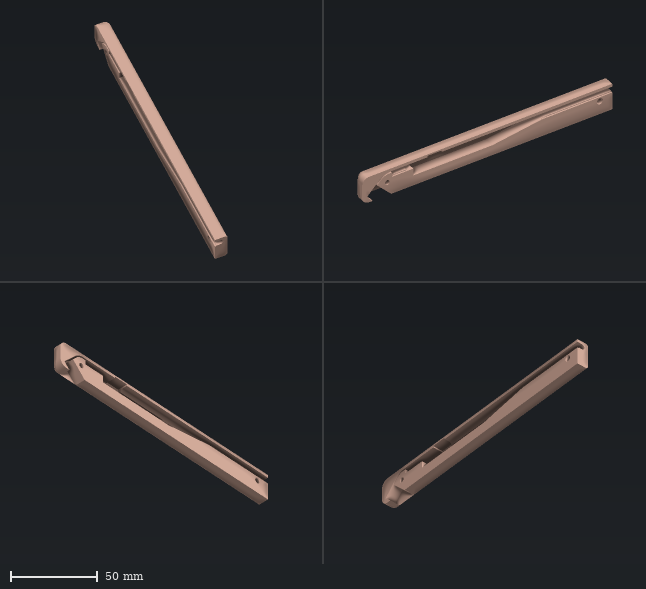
import cadquery as cq
import math

length = 172.3
thickness = 8.0
height = 18.0
corner_radius = 5.0
back_edge_radius = 2.0

rod_radius = 1.85
rod_axis_y = 3.4
roof_thickness = 2.0
mouth_top_z = height - roof_thickness
mouth_bottom_z = 11.85
mouth_depth = 1.0
rod_axis_z = mouth_top_z - rod_radius
rod_start_x = 20.6

pocket_depth = 7.0
pocket_bottom_z = 7.0
pocket_shoulder_z = 12.8
cradle_end_x = 31.2
pocket_start_x = 35.3
rod_entry_start_x = 45.2
rod_entry_end_x = 55.2
rod_entry_roof = 1.0
rod_entry_top_z = height - rod_entry_roof
ramp_start_x = 90.0
ramp_end_x = 130.5

recess_depth = 7.5
slot_width = 1.1
slot_bend_radius = 9.0
slot_end_x = 19.2
slope_angle = math.radians(45)
slope_offset_z = 0.9
hook_foot_x = 7.4
post_foot_x = 20.1

hole_diameter = 3.4
hole_z = height / 2
front_hole_x = 17.4
rear_hole_x = 163.8
countersink_diameter = 4.2

overshoot = 1.0


def extrude_from_mating_face(profile, depth):
    """Extrude a closed XZ profile from y = 0 to y = depth."""
    return profile.extrude(-depth)


def make_body():
    """Round the nose in the XZ and XY outlines, then along the edge of the back face."""
    blank = cq.Workplane("XY").box(length, thickness, height, centered=False)
    side_rounded = blank.edges("<X and |Y").fillet(corner_radius)
    nose_rounded = blank.edges("<X and >Y and |Z").fillet(corner_radius)
    body = side_rounded.intersect(nose_rounded)
    return body.faces(">Y").edges("|X").fillet(back_edge_radius)


def make_rod_channel():
    run = length + overshoot - rod_start_x

    def straight_slot(bottom_z, top_z, depth):
        return cq.Workplane("XY").box(run, depth, top_z - bottom_z, centered=False).translate(
            (rod_start_x, 0, bottom_z)
        )

    bore = (
        cq.Workplane("YZ", origin=(rod_start_x, 0, 0))
        .center(rod_axis_y, rod_axis_z)
        .circle(rod_radius)
        .extrude(run)
    )
    throat = straight_slot(rod_axis_z - rod_radius, mouth_top_z, rod_axis_y)
    mouth = straight_slot(mouth_bottom_z, mouth_top_z, mouth_depth)
    return bore.union(throat).union(mouth)


def make_pocket():
    cradle_top_z = mouth_top_z - slot_width
    profile = (
        cq.Workplane("XZ")
        .moveTo(slot_end_x, mouth_top_z)
        .lineTo(slot_end_x, cradle_top_z)
        .lineTo(cradle_end_x, cradle_top_z)
        .lineTo(cradle_end_x, mouth_bottom_z)
        .lineTo(pocket_start_x, mouth_bottom_z)
        .lineTo(pocket_start_x, pocket_bottom_z)
        .lineTo(ramp_start_x, pocket_bottom_z)
        .lineTo(ramp_end_x, pocket_shoulder_z)
        .lineTo(ramp_start_x, pocket_shoulder_z)
        .lineTo(ramp_start_x, rod_axis_z)
        .lineTo(rod_entry_end_x, rod_axis_z)
        .lineTo(rod_entry_end_x, rod_entry_top_z)
        .lineTo(rod_entry_start_x, rod_entry_top_z)
        .lineTo(rod_entry_start_x, mouth_top_z)
        .close()
    )
    return extrude_from_mating_face(profile, pocket_depth)


def make_nose_recess():
    bend_x = mouth_top_z - slope_offset_z + slot_bend_radius * math.tan(slope_angle / 2)
    bend_z = mouth_top_z - slot_bend_radius

    def bend_point(radius, angle):
        return (bend_x - radius * math.sin(angle), bend_z + radius * math.cos(angle))

    inner_radius = slot_bend_radius - slot_width
    hook_corner_x = (hook_foot_x - slope_offset_z) / 2
    inner_offset_z = slope_offset_z - slot_width / math.cos(slope_angle)
    post_corner_x = (post_foot_x - inner_offset_z) / 2
    profile = (
        cq.Workplane("XZ")
        .moveTo(hook_foot_x + overshoot, -overshoot)
        .lineTo(hook_corner_x, hook_corner_x + slope_offset_z)
        .lineTo(*bend_point(slot_bend_radius, slope_angle))
        .threePointArc(
            bend_point(slot_bend_radius, slope_angle / 2),
            bend_point(slot_bend_radius, 0),
        )
        .lineTo(slot_end_x, mouth_top_z)
        .lineTo(slot_end_x, mouth_top_z - slot_width)
        .lineTo(*bend_point(inner_radius, 0))
        .threePointArc(
            bend_point(inner_radius, slope_angle / 2),
            bend_point(inner_radius, slope_angle),
        )
        .lineTo(post_corner_x, post_corner_x + inner_offset_z)
        .lineTo(post_foot_x + overshoot, -overshoot)
        .close()
    )
    return extrude_from_mating_face(profile, recess_depth)


def drill_holes(body):
    front_hole = cq.Workplane("XZ").center(front_hole_x, hole_z).circle(hole_diameter / 2)
    rear_hole = cq.Workplane("XZ").center(rear_hole_x, hole_z).circle(hole_diameter / 2)
    countersink_depth = (countersink_diameter - hole_diameter) / 2
    countersink = cq.Workplane(
        cq.Solid.makeCone(
            countersink_diameter / 2,
            hole_diameter / 2,
            countersink_depth,
            pnt=cq.Vector(rear_hole_x, 0, hole_z),
            dir=cq.Vector(0, 1, 0),
        )
    )
    for hole in (front_hole, rear_hole):
        body = body.cut(extrude_from_mating_face(hole, thickness))
    return body.cut(countersink)


part = make_body()
part = part.cut(make_rod_channel())
part = part.cut(make_pocket())
part = part.cut(make_nose_recess())
result = drill_holes(part)